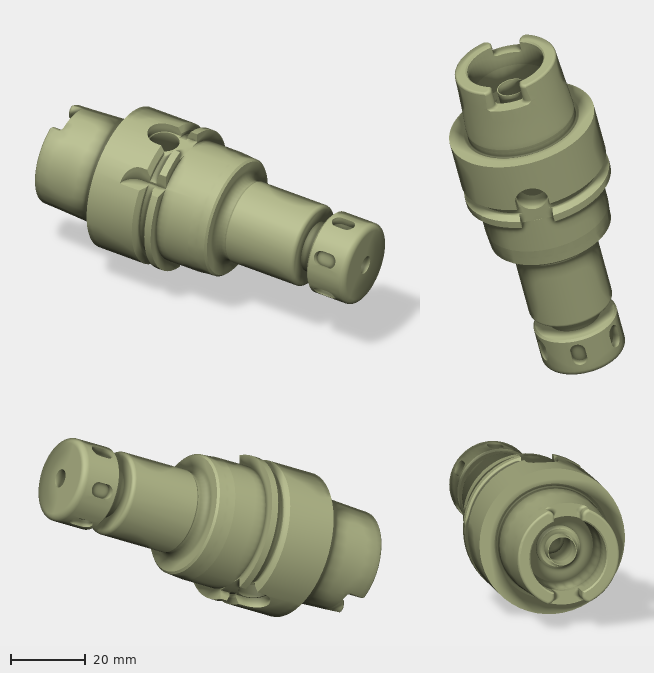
import cadquery as cq
import math

LENGTH = 95.0

SHANK_LENGTH = 19.95
MOUTH_RADIUS = 14.0
MOUTH_ROUND = 0.7
TAPER_END_RADIUS = 14.9
TAPER_END_X = 17.9
NECK_X = 18.7
NECK_RADIUS = 14.8
UNDERCUT_RADIUS = 15.9
UNDERCUT_DEPTH = 0.4

FLANGE_RADIUS = 40.0 / 2
FLANGE_END_X = 39.9
GROOVE_RADIUS = 17.3
GROOVE_SLOPE_DEPTH = 1.7
GROOVE_SLOPE_RUN = 0.95
GROOVE_FLOOR_START_X = 35.0
GROOVE_FLOOR_END_X = 37.0

BODY_RADIUS = 17.0
BODY_TAPER_X = 49.8
BODY_END_RADIUS = 16.6
BODY_END_X = 55.1
BODY_CHAMFER = 0.6

SLEEVE_RADIUS = 11.5
SLEEVE_NECK_RADIUS = 11.2
SLEEVE_FILLET = 1.9
SLEEVE_STEP_X = 57.9
SLEEVE_START_X = 58.3
SLEEVE_END_X = 79.0
SLEEVE_ROUND = 1.0

COLLET_RADIUS = 14.0 / 2
NUT_RADIUS = 11.5
NUT_START_X = 83.2
NUT_CHAMFER = 0.6
NUT_ROUND = 1.6

WRENCH_SLOT_COUNT = 6
WRENCH_SLOT_X = 88.2
WRENCH_SLOT_LENGTH = 6.6
WRENCH_SLOT_WIDTH = 4.1
WRENCH_SLOT_DEPTH = 2.3

BORE_RADIUS = 21.0 / 2
BORE_CHAMFER = 0.4
BORE_TAPER_X = 7.6
BORE_FLOOR_RADIUS = 9.7
BORE_FLOOR_X = 13.3
BOSS_RADIUS = 6.0
BOSS_CHAMFER = 0.8
BOSS_HEIGHT = 1.4
TUBE_START_X = 7.8
TUBE_RADIUS = 4.0
TUBE_BORE_RADIUS = 7.5 / 2
TUBE_BORE_END_X = 20.9
HOLE_RADIUS = 5.0 / 2

NOTCH_HALF_WIDTH = 7.7 / 2
NOTCH_FLARE_Z = 10.9
NOTCH_FLARE_RADIUS = 1.9
NOTCH_FILLET = 0.9
EDGE_MARGIN = 0.1
TOP_NOTCH_DEPTH = 3.6
BOTTOM_NOTCH_DEPTH = 5.7

KEYWAY_CENTER_X = 32.3
KEYWAY_WIDTH = 9.0
KEYWAY_FLOOR_Z = 16.9
KEYWAY_HOLE_RADIUS = 8.3 / 2
KEYWAY_HOLE_DEPTH = 6.65
POCKET_CORNER = 11.9
POCKET_CUTTER_RADIUS = 4.3


def revolve_about_x(profile):
    """Revolve a profile drawn in the XY plane, where Y is the radius."""
    return profile.close().revolve(360, (0, 0, 0), (1, 0, 0))


def outer_shape():
    diagonal = math.sqrt(0.5)
    undercut_mid = UNDERCUT_DEPTH * diagonal
    mouth_mid = MOUTH_ROUND * (1 - diagonal)
    groove_shoulder = FLANGE_RADIUS - GROOVE_SLOPE_DEPTH
    fillet_rise = SLEEVE_FILLET * (1 - diagonal)
    sleeve_mid = SLEEVE_ROUND * (1 - diagonal)
    nut_mid = NUT_ROUND * (1 - diagonal)
    profile = (
        cq.Workplane("XY")
        .moveTo(0, 0)
        .lineTo(0, MOUTH_RADIUS - MOUTH_ROUND)
        .threePointArc((mouth_mid, MOUTH_RADIUS - mouth_mid), (MOUTH_ROUND, MOUTH_RADIUS))
        .lineTo(TAPER_END_X, TAPER_END_RADIUS)
        .lineTo(NECK_X, NECK_RADIUS)
        .lineTo(SHANK_LENGTH, NECK_RADIUS)
        .threePointArc(
            (SHANK_LENGTH + undercut_mid, NECK_RADIUS + UNDERCUT_DEPTH - undercut_mid),
            (SHANK_LENGTH + UNDERCUT_DEPTH, NECK_RADIUS + UNDERCUT_DEPTH),
        )
        .lineTo(SHANK_LENGTH, UNDERCUT_RADIUS)
        .lineTo(SHANK_LENGTH, FLANGE_RADIUS)
        .lineTo(GROOVE_FLOOR_START_X - GROOVE_SLOPE_RUN, FLANGE_RADIUS)
        .lineTo(GROOVE_FLOOR_START_X, groove_shoulder)
        .lineTo(GROOVE_FLOOR_START_X, GROOVE_RADIUS)
        .lineTo(GROOVE_FLOOR_END_X, GROOVE_RADIUS)
        .lineTo(GROOVE_FLOOR_END_X, groove_shoulder)
        .lineTo(GROOVE_FLOOR_END_X + GROOVE_SLOPE_RUN, FLANGE_RADIUS)
        .lineTo(FLANGE_END_X, FLANGE_RADIUS)
        .lineTo(FLANGE_END_X, BODY_RADIUS)
        .lineTo(BODY_TAPER_X, BODY_RADIUS)
        .lineTo(BODY_END_X - BODY_CHAMFER, BODY_END_RADIUS)
        .lineTo(BODY_END_X, BODY_END_RADIUS - BODY_CHAMFER)
        .lineTo(BODY_END_X, SLEEVE_NECK_RADIUS + SLEEVE_FILLET)
        .threePointArc(
            (BODY_END_X + fillet_rise, SLEEVE_NECK_RADIUS + fillet_rise),
            (BODY_END_X + SLEEVE_FILLET, SLEEVE_NECK_RADIUS),
        )
        .lineTo(SLEEVE_STEP_X, SLEEVE_NECK_RADIUS)
        .lineTo(SLEEVE_START_X, SLEEVE_RADIUS)
        .lineTo(SLEEVE_END_X - SLEEVE_ROUND, SLEEVE_RADIUS)
        .threePointArc(
            (SLEEVE_END_X - sleeve_mid, SLEEVE_RADIUS - sleeve_mid),
            (SLEEVE_END_X, SLEEVE_RADIUS - SLEEVE_ROUND),
        )
        .lineTo(SLEEVE_END_X, COLLET_RADIUS)
        .lineTo(NUT_START_X, COLLET_RADIUS)
        .lineTo(NUT_START_X, NUT_RADIUS - NUT_CHAMFER)
        .lineTo(NUT_START_X + NUT_CHAMFER, NUT_RADIUS)
        .lineTo(LENGTH - NUT_ROUND, NUT_RADIUS)
        .threePointArc(
            (LENGTH - nut_mid, NUT_RADIUS - nut_mid),
            (LENGTH, NUT_RADIUS - NUT_ROUND),
        )
        .lineTo(LENGTH, 0)
    )
    return revolve_about_x(profile)


def inner_space():
    """Bore around the coolant tube, with the hole through the whole part."""
    nose = TUBE_BORE_RADIUS - HOLE_RADIUS
    nose_mid = nose * (1 - math.sqrt(0.5))
    boss_x = BORE_FLOOR_X - BOSS_HEIGHT
    profile = (
        cq.Workplane("XY")
        .moveTo(0, 0)
        .lineTo(0, BORE_RADIUS + BORE_CHAMFER)
        .lineTo(BORE_CHAMFER, BORE_RADIUS)
        .lineTo(BORE_TAPER_X, BORE_RADIUS)
        .lineTo(BORE_FLOOR_X, BORE_FLOOR_RADIUS)
        .lineTo(BORE_FLOOR_X, BOSS_RADIUS)
        .lineTo(boss_x + BOSS_CHAMFER, BOSS_RADIUS)
        .lineTo(boss_x, BOSS_RADIUS - BOSS_CHAMFER)
        .lineTo(boss_x, TUBE_RADIUS)
        .lineTo(TUBE_START_X, TUBE_RADIUS)
        .lineTo(TUBE_START_X, TUBE_BORE_RADIUS)
        .lineTo(TUBE_BORE_END_X + nose, TUBE_BORE_RADIUS)
        .threePointArc(
            (TUBE_BORE_END_X + nose_mid, TUBE_BORE_RADIUS - nose_mid),
            (TUBE_BORE_END_X, HOLE_RADIUS),
        )
        .lineTo(LENGTH, HOLE_RADIUS)
        .lineTo(LENGTH, 0)
    )
    return revolve_about_x(profile)


def drive_notch(depth):
    """Notch on the +Z side of the mouth: flaring walls, rounded at the mouth and filleted at the floor."""
    flare_mid = NOTCH_FLARE_RADIUS * (1 - math.sqrt(0.5))
    flare_y = NOTCH_HALF_WIDTH + NOTCH_FLARE_RADIUS
    flare_z = NOTCH_FLARE_Z + NOTCH_FLARE_RADIUS
    arc_y = NOTCH_HALF_WIDTH + flare_mid
    arc_z = flare_z - flare_mid
    side_y = flare_y + NOTCH_FLARE_RADIUS
    height = FLANGE_RADIUS - TUBE_RADIUS
    notch = (
        cq.Workplane("YZ")
        .moveTo(-NOTCH_HALF_WIDTH, TUBE_RADIUS)
        .lineTo(-NOTCH_HALF_WIDTH, NOTCH_FLARE_Z)
        .threePointArc((-arc_y, arc_z), (-flare_y, flare_z))
        .lineTo(-side_y, flare_z)
        .lineTo(-side_y, FLANGE_RADIUS)
        .lineTo(side_y, FLANGE_RADIUS)
        .lineTo(side_y, flare_z)
        .lineTo(flare_y, flare_z)
        .threePointArc((arc_y, arc_z), (NOTCH_HALF_WIDTH, NOTCH_FLARE_Z))
        .lineTo(NOTCH_HALF_WIDTH, TUBE_RADIUS)
        .close()
        .extrude(depth)
    )
    plate = (
        cq.Workplane("YZ", origin=(0, 0, TUBE_RADIUS + height / 2))
        .rect(2 * side_y, height)
        .extrude(-NOTCH_FILLET)
    )
    tool = notch.union(plate)
    for x in (0, depth):
        low = (x - EDGE_MARGIN, EDGE_MARGIN - side_y, TUBE_RADIUS + EDGE_MARGIN)
        high = (x + EDGE_MARGIN, side_y - EDGE_MARGIN, flare_z + EDGE_MARGIN)
        tool = tool.edges(cq.selectors.BoxSelector(low, high)).fillet(NOTCH_FILLET)
    return tool


def keyway():
    """Round-ended keyway on the +Z side, open towards the body, with a blind hole in its floor."""
    height = FLANGE_RADIUS - KEYWAY_FLOOR_Z
    run = FLANGE_END_X - KEYWAY_CENTER_X
    floor = cq.Workplane("XY", origin=(KEYWAY_CENTER_X, 0, KEYWAY_FLOOR_Z))
    channel = floor.center(run / 2, 0).rect(run, KEYWAY_WIDTH).extrude(height)
    round_end = floor.circle(KEYWAY_WIDTH / 2).extrude(height)
    hole = floor.circle(KEYWAY_HOLE_RADIUS).extrude(-KEYWAY_HOLE_DEPTH)
    return channel.union(round_end).union(hole)


def corner_pocket():
    """Pocket on the -Y, +Z corner of the flange with a round end."""
    center_y = -POCKET_CORNER - POCKET_CUTTER_RADIUS
    height = FLANGE_RADIUS - POCKET_CORNER
    run = FLANGE_END_X - KEYWAY_CENTER_X
    floor = cq.Workplane("XY", origin=(KEYWAY_CENTER_X, center_y, POCKET_CORNER))
    channel = floor.center(run / 2, 0).rect(run, 2 * POCKET_CUTTER_RADIUS).extrude(height)
    return floor.circle(POCKET_CUTTER_RADIUS).extrude(height).union(channel)


def wrench_slot(angle):
    floor_z = NUT_RADIUS - WRENCH_SLOT_DEPTH
    return (
        cq.Workplane("XY", origin=(WRENCH_SLOT_X, 0, floor_z))
        .slot2D(WRENCH_SLOT_LENGTH, WRENCH_SLOT_WIDTH)
        .extrude(2 * WRENCH_SLOT_DEPTH)
        .rotate((0, 0, 0), (1, 0, 0), angle)
    )


def opposite(shape):
    """Turn a +Z side feature to the -Z side."""
    return shape.rotate((0, 0, 0), (1, 0, 0), 180)


result = outer_shape().cut(inner_space())
result = result.cut(drive_notch(TOP_NOTCH_DEPTH)).cut(opposite(drive_notch(BOTTOM_NOTCH_DEPTH)))
result = result.cut(keyway()).cut(opposite(keyway())).cut(corner_pocket())
for index in range(WRENCH_SLOT_COUNT):
    result = result.cut(wrench_slot(index * 360 / WRENCH_SLOT_COUNT))